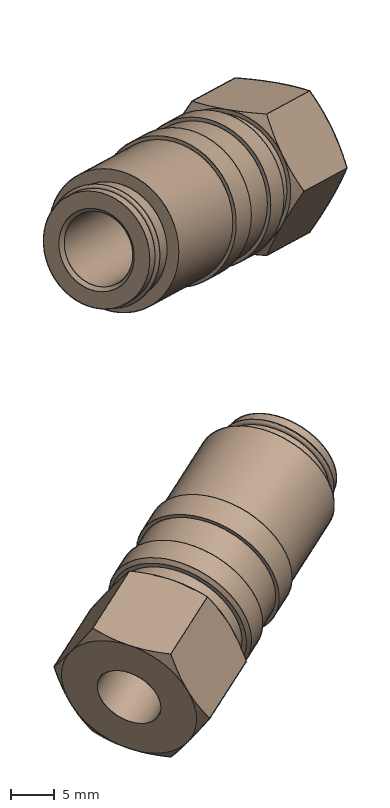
import cadquery as cq
import math

nut_length = 11.5
neck_end = 13.5
rear_collar_end = 17.0
front_collar_start = 21.5
front_collar_end = 25.0
sleeve_end = 37.5
total_length = 41.5

nut_sides = 6
nut_across_flats = 17.0
nut_chamfer_angle = 30.0
neck_diameter = 16.0
collar_diameter = 18.0
collar_chamfer = 0.45
sleeve_diameter = 17.1
nose_diameter = 14.0

ring_section_radius = 0.375
ring_station = 39.9

through_bore_diameter = 8.0
front_bore_diameter = 9.0
front_bore_depth = 16.5
mouth_chamfer = 0.45

back_y = total_length / 2


def cylinder(start, end, diameter):
    """Cylinder on the Y axis between two stations behind the nut face."""
    plane = cq.Plane(origin=(0, back_y - start, 0), xDir=(1, 0, 0), normal=(0, -1, 0))
    return cq.Workplane(plane).circle(diameter / 2).extrude(end - start)


def make_nut():
    """Hexagon with flats at top and bottom, both ends conically chamfered."""
    corner_radius = nut_across_flats / 2 / math.cos(math.pi / nut_sides)
    flat_radius = nut_across_flats / 2
    chamfer_slope = math.tan(math.radians(nut_chamfer_angle))
    chamfer_drop = (corner_radius - flat_radius) * chamfer_slope
    hexagon = (
        cq.Workplane("XZ", origin=(0, back_y, 0))
        .polygon(nut_sides, 2 * corner_radius)
        .extrude(nut_length)
    )
    front_y = back_y - nut_length
    envelope = (
        cq.Workplane("XY")
        .moveTo(0, back_y)
        .lineTo(flat_radius, back_y)
        .lineTo(corner_radius, back_y - chamfer_drop)
        .lineTo(corner_radius, front_y + chamfer_drop)
        .lineTo(flat_radius, front_y)
        .lineTo(0, front_y)
        .close()
        .revolve(360, (0, 0, 0), (0, 1, 0))
    )
    return hexagon.intersect(envelope)


def make_barrel():
    """Neck, collars, sleeve and nose as stacked cylinders."""
    rear_collar = cylinder(neck_end, rear_collar_end, collar_diameter)
    rear_collar = rear_collar.faces(">Y").chamfer(collar_chamfer)
    return (
        cylinder(nut_length, neck_end, neck_diameter)
        .union(rear_collar)
        .union(cylinder(rear_collar_end, sleeve_end, sleeve_diameter))
        .union(cylinder(front_collar_start, front_collar_end, collar_diameter))
        .union(cylinder(sleeve_end, total_length, nose_diameter))
    )


def make_ring():
    """Round-section ring half sunk into the nose."""
    return (
        cq.Workplane("XY")
        .center(nose_diameter / 2, back_y - ring_station)
        .circle(ring_section_radius)
        .revolve(360, (-nose_diameter / 2, 0, 0), (-nose_diameter / 2, 1, 0))
    )


def make_bore():
    """Through bore, wider front bore and chamfered mouth, as one cutter."""
    mouth_radius = front_bore_diameter / 2 + mouth_chamfer
    front_y = back_y - total_length
    step_y = front_y + front_bore_depth
    return (
        cq.Workplane("XY")
        .moveTo(0, front_y)
        .lineTo(mouth_radius, front_y)
        .lineTo(front_bore_diameter / 2, front_y + mouth_chamfer)
        .lineTo(front_bore_diameter / 2, step_y)
        .lineTo(through_bore_diameter / 2, step_y)
        .lineTo(through_bore_diameter / 2, back_y)
        .lineTo(0, back_y)
        .close()
        .revolve(360, (0, 0, 0), (0, 1, 0))
    )


result = make_nut().union(make_barrel()).union(make_ring()).cut(make_bore())